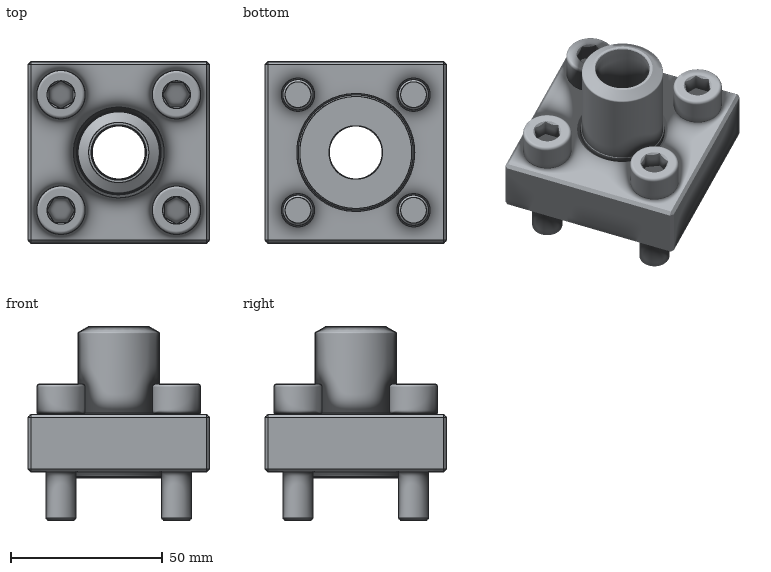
import cadquery as cq
import math

screw_length = 35.0
plate_thickness = 19.0
plate_top = screw_length
plate_bottom = plate_top - plate_thickness

plate_width = 60.0
plate_chamfer = 1.0
screw_circle_diameter = 54.0
screw_spacing = screw_circle_diameter / math.sqrt(2)
screw_hole_diameter = 11.0
pipe_hole_diameter = 28.0
pipe_hole_chamfer = 1.0
recess_diameter = 39.0
recess_depth = 5.0

nipple_length = 50.0
nipple_bottom = plate_bottom - 2.0
nipple_top = nipple_bottom + nipple_length
collar_diameter = 38.0
collar_chamfer = 0.5
collar_top = plate_bottom + recess_depth
neck_diameter = 27.5
neck_top = plate_top + 0.5
pipe_diameter = 26.9
bore_diameter = 17.5
pipe_bore_diameter = 17.9
bore_chamfer = 0.2
bevel_width = 3.5
bevel_angle = 30.0
bevel_edge_fillet = 0.5
bevel_height = bevel_width * math.tan(math.radians(bevel_angle))

screw_count = 4
screw_diameter = 10.0
tip_chamfer = 0.75
head_diameter = 16.0
head_height = 10.0
head_fillet = 1.0
socket_across_corners = 9.24
socket_depth = 6.0
socket_mouth_angle = 45.0


def cylinder(diameter, bottom, top):
    """Upright cylinder about the Z axis between two heights."""
    return cq.Workplane("XY").workplane(offset=bottom).circle(diameter / 2).extrude(top - bottom)


def make_flange():
    """Square plate with all edges broken, a recessed pipe hole and four screw holes."""
    plate = (
        cq.Workplane("XY")
        .workplane(offset=plate_bottom)
        .rect(plate_width, plate_width)
        .extrude(plate_thickness)
        .edges()
        .chamfer(plate_chamfer)
    )
    screw_holes = (
        cq.Workplane("XY")
        .workplane(offset=plate_bottom)
        .rect(screw_spacing, screw_spacing, forConstruction=True)
        .vertices()
        .circle(screw_hole_diameter / 2)
        .extrude(plate_thickness)
    )
    plate = plate.cut(screw_holes)
    plate = plate.cut(cylinder(pipe_hole_diameter, plate_bottom, plate_top))
    plate = plate.cut(cylinder(recess_diameter, plate_bottom, collar_top))
    hole_rim = cq.selectors.RadiusNthSelector(1)
    return plate.faces(">Z").edges("%CIRCLE").edges(hole_rim).chamfer(pipe_hole_chamfer)


def make_nipple():
    """Turned weld nipple: collar, neck, pipe with a weld bevel, and a bore narrowed at the collar."""
    collar_radius = collar_diameter / 2
    neck_radius = neck_diameter / 2
    pipe_radius = pipe_diameter / 2
    bore_radius = bore_diameter / 2
    pipe_bore_radius = pipe_bore_diameter / 2
    bevel_bottom = nipple_top - bevel_height
    outline = [
        (bore_radius, nipple_bottom),
        (collar_radius - collar_chamfer, nipple_bottom),
        (collar_radius, nipple_bottom + collar_chamfer),
        (collar_radius, collar_top),
        (neck_radius, collar_top),
        (neck_radius, neck_top),
        (pipe_radius, neck_top),
        (pipe_radius, bevel_bottom),
        (pipe_radius - bevel_width, nipple_top),
        (pipe_bore_radius + bore_chamfer, nipple_top),
        (pipe_bore_radius, nipple_top - bore_chamfer),
        (pipe_bore_radius, collar_top),
        (bore_radius, collar_top),
    ]
    nipple = cq.Workplane("XZ").polyline(outline).close().revolve(360, (0, 0), (0, 1))
    bevel_edge = cq.selectors.NearestToPointSelector((0, 0, bevel_bottom))
    return nipple.edges("%CIRCLE").edges(bevel_edge).fillet(bevel_edge_fillet)


def make_screw(angle):
    """Socket head cap screw on the screw circle, turned about the pipe axis by an angle."""
    shank = cylinder(screw_diameter, 0, screw_length).faces("<Z").chamfer(tip_chamfer)
    head_top = screw_length + head_height
    head = cylinder(head_diameter, screw_length, head_top)
    head = head.edges("%CIRCLE").fillet(head_fillet)
    socket = (
        cq.Workplane("XY")
        .workplane(offset=head_top - socket_depth)
        .polygon(6, socket_across_corners)
        .extrude(socket_depth)
    )
    mouth_radius = socket_across_corners / 2
    mouth_depth = mouth_radius * math.tan(math.radians(socket_mouth_angle))
    mouth = cq.Workplane(cq.Solid.makeCone(0, mouth_radius, mouth_depth))
    mouth = mouth.translate((0, 0, head_top - mouth_depth))
    screw = shank.union(head).cut(socket).cut(mouth)
    screw = screw.translate((screw_spacing / 2, screw_spacing / 2, 0))
    return screw.rotate((0, 0, 0), (0, 0, 1), angle)


flange = make_flange()
nipple = make_nipple()
screws = [make_screw(index * 360 / screw_count) for index in range(screw_count)]

result = cq.Compound.makeCompound([flange.val(), nipple.val(), *[screw.val() for screw in screws]])